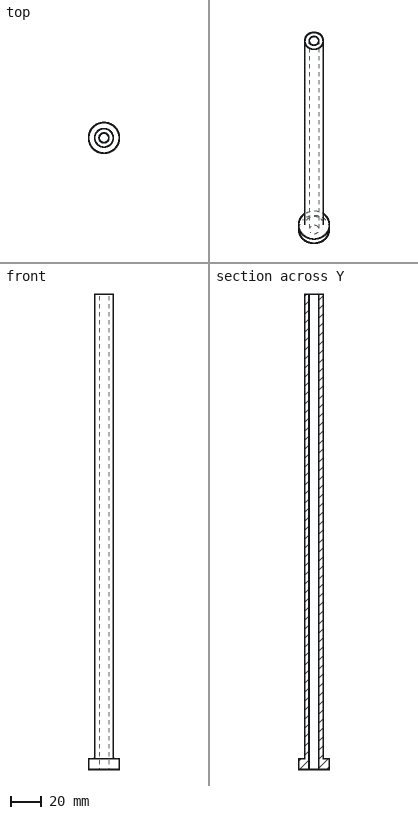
import cadquery as cq

total_length = 307.0
head_diameter = 20.0
head_height = 7.0
tube_diameter = 12.0
bore_diameter = 6.0
neck_fillet = 0.5

head_radius = head_diameter / 2
tube_radius = tube_diameter / 2
bore_radius = bore_diameter / 2

half_section = (
    cq.Workplane("XZ")
    .moveTo(bore_radius, 0)
    .lineTo(head_radius, 0)
    .lineTo(head_radius, head_height)
    .lineTo(tube_radius + neck_fillet, head_height)
    .radiusArc((tube_radius, head_height + neck_fillet), neck_fillet)
    .lineTo(tube_radius, total_length)
    .lineTo(bore_radius, total_length)
    .close()
)

result = half_section.revolve(360, (0, 0, 0), (0, 1, 0))